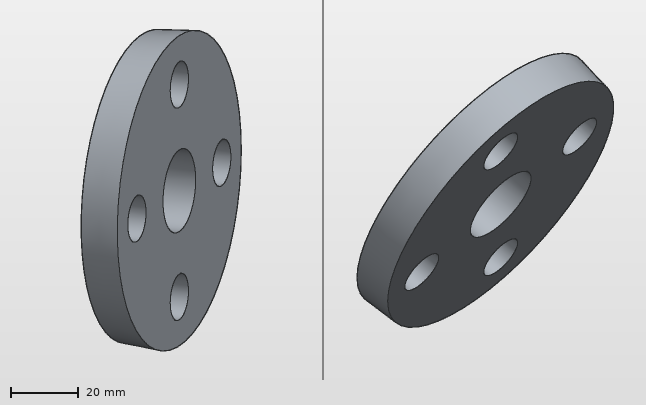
import cadquery as cq

outer_diameter = 95.0
front_diameter = 93.1
thickness = 12.0
bore_diameter = 25.0
bolt_hole_diameter = 14.0
bolt_circle_diameter = 65.0
bolt_hole_count = 4


def tapered_disc():
    """Conical-rimmed disc along +X, with its small face at X = 0."""
    return (
        cq.Workplane("YZ")
        .circle(front_diameter / 2)
        .workplane(offset=thickness)
        .circle(outer_diameter / 2)
        .loft(ruled=True)
    )


def bore():
    """Cutter for the central through bore."""
    return cq.Workplane("YZ").circle(bore_diameter / 2).extrude(thickness)


def bolt_holes():
    """Cutters for the through holes evenly spaced on the bolt circle."""
    return (
        cq.Workplane("YZ")
        .polarArray(bolt_circle_diameter / 2, 0, 360, bolt_hole_count)
        .circle(bolt_hole_diameter / 2)
        .extrude(thickness)
    )


result = tapered_disc().cut(bore()).cut(bolt_holes())